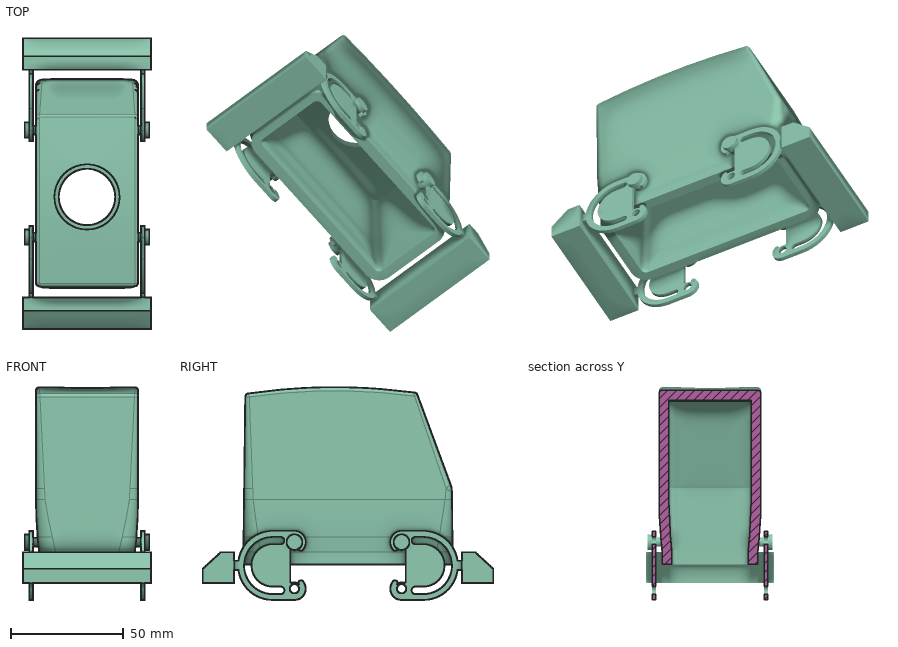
import cadquery as cq
import math


RIM_TOP = 5.7
TAPER_TOP = 12.3
BULGE_TOP = 29.0
RIDGE_Z = 34.0
CROWN_Z = 79.0
LOFT_TOP = 81.6

TOP_HALF_WIDTH = 22.8
BULGE_RADIUS = 180.0
RIM_HALF_LENGTH = 46.6
END_DRAFT = 0.012
BACK_LEAN = 0.37
TOP_FILLET = 1.5
CROWN_RADIUS = 265.5
WALL = 4.5

RIM_CORNER = 7.4
TAPER_FRONT_CORNER = 6.5
TAPER_BACK_CORNER = 6.1
BULGE_FRONT_CORNER = 4.0
BULGE_BACK_CORNER = 3.2
RIDGE_BACK_CORNER = 2.7
TOP_CORNER = 1.4
CAVITY_CORNER = 2.6
RIDGE_RADIUS = 9.1

ENTRY_Y = -6.0
BUSHING_RADIUS = 14.5
ENTRY_RADIUS = 25.0 / 2
BUSHING_RECESS = 0.6
ENTRY_POCKET_Z = 69.9

LEVER_Y = 33.5
LEVER_Z = -0.4
LEVER_RADIUS = 15.4
SLOT_OUTER_RADIUS = 12.7
SLOT_INNER_RADIUS = 9.5
SLOT_END_Y = 28.4
PLATE_INNER_Y = 25.6
PLATE_INSIDE_X = 24.0
PLATE_THICKNESS = 1.8
PIVOT_Y = 23.8
PIVOT_RADIUS = 4.0 / 2
HOOK_RADIUS = 5.0
HOOK_INNER_RADIUS = 2.8
HOOK_TIP_ANGLE = 43.0
HOOK_ROOT_FILLET = 0.6
NECK_HEIGHT = 4.3

HANDLE_WIDTH = 57.0
HANDLE_INNER_Y = 50.6
HANDLE_OUTER_Y = 64.8
HANDLE_BOTTOM = -8.3
HANDLE_TOP = 5.6
HANDLE_BEVEL_Y = 56.6
HANDLE_BEVEL_Z = -2.0

PIN_HEAD_RADIUS = 3.5
PIN_HEAD_END_X = 27.7
PIN_INNER_X = 20.1

PIVOT_OFFSET = LEVER_RADIUS - HOOK_RADIUS
PLATE_OUTSIDE_X = PLATE_INSIDE_X + PLATE_THICKNESS


def half_width(z):
    """Half width of the hood at height z: vertical, then an arc, then its straight tangent."""
    drop = BULGE_TOP - max(z, TAPER_TOP)
    bulge_inset = BULGE_RADIUS - math.sqrt(BULGE_RADIUS**2 - max(drop, 0) ** 2)
    end_slope = (BULGE_TOP - TAPER_TOP) / BULGE_RADIUS
    taper_inset = end_slope * max(TAPER_TOP - max(z, RIM_TOP), 0)
    return TOP_HALF_WIDTH - bulge_inset - taper_inset


def front_y(z):
    return -RIM_HALF_LENGTH + END_DRAFT * max(z - RIM_TOP, 0)


def back_y(z):
    below_ridge = RIM_HALF_LENGTH - END_DRAFT * max(min(z, RIDGE_Z) - RIM_TOP, 0)
    return below_ridge - BACK_LEAN * max(z - RIDGE_Z, 0)


def hood_section(z, front_corner, back_corner, inset=0.0):
    """Horizontal rounded-rectangle wire of the hood at height z, moved inwards by inset."""
    x = half_width(z) - inset
    front = front_y(z) + inset
    back = back_y(z) - inset
    outline = (
        cq.Workplane("XY", origin=(0, 0, z))
        .moveTo(-x + front_corner, front)
        .lineTo(x - front_corner, front)
        .radiusArc((x, front + front_corner), -front_corner)
        .lineTo(x, back - back_corner)
        .radiusArc((x - back_corner, back), -back_corner)
        .lineTo(-x + back_corner, back)
        .radiusArc((-x, back - back_corner), -back_corner)
        .lineTo(-x, front + front_corner)
        .radiusArc((-x + front_corner, front), -front_corner)
        .close()
    )
    return outline.val()


def loft(sections, ruled=True):
    return cq.Workplane(cq.Solid.makeLoft(sections, ruled))


def below_arch(depth):
    """Large cylinder whose upper side is the arched top of the hood moved down by depth."""
    radius = CROWN_RADIUS - depth
    return (
        cq.Workplane("YZ", origin=(-HANDLE_WIDTH, ENTRY_Y, CROWN_Z - CROWN_RADIUS))
        .circle(radius)
        .extrude(2 * HANDLE_WIDTH)
    )


def make_hood_outside():
    bulge_middle = (TAPER_TOP + BULGE_TOP) / 2
    middle_front_corner = (TAPER_FRONT_CORNER + BULGE_FRONT_CORNER) / 2
    middle_back_corner = (TAPER_BACK_CORNER + BULGE_BACK_CORNER) / 2
    ridge_share = (RIDGE_Z - BULGE_TOP) / (LOFT_TOP - BULGE_TOP)
    ridge_front_corner = BULGE_FRONT_CORNER + ridge_share * (TOP_CORNER - BULGE_FRONT_CORNER)

    rim = hood_section(0, RIM_CORNER, RIM_CORNER)
    rim_top = hood_section(RIM_TOP, RIM_CORNER, RIM_CORNER)
    taper_top = hood_section(TAPER_TOP, TAPER_FRONT_CORNER, TAPER_BACK_CORNER)
    bulge = hood_section(bulge_middle, middle_front_corner, middle_back_corner)
    bulge_top = hood_section(BULGE_TOP, BULGE_FRONT_CORNER, BULGE_BACK_CORNER)
    ridge = hood_section(RIDGE_Z, ridge_front_corner, RIDGE_BACK_CORNER)
    top = hood_section(LOFT_TOP, TOP_CORNER, TOP_CORNER)

    lower = loft([rim, rim_top, taper_top])
    middle = loft([taper_top, bulge, bulge_top], ruled=False)
    ridge_edges = cq.selectors.BoxSelector(
        (-HANDLE_WIDTH, RIM_HALF_LENGTH - 2 * RIDGE_BACK_CORNER, RIDGE_Z - RIDGE_BACK_CORNER),
        (HANDLE_WIDTH, RIM_HALF_LENGTH, RIDGE_Z + RIDGE_BACK_CORNER),
    )
    upper = loft([bulge_top, ridge, top]).edges(ridge_edges).fillet(RIDGE_RADIUS)
    upper = upper.intersect(below_arch(0))
    upper = upper.faces(">Z").edges().fillet(TOP_FILLET)
    return lower.union(middle).union(upper)


def make_cavity():
    heights = [0, RIM_TOP, TAPER_TOP, BULGE_TOP, RIDGE_Z, LOFT_TOP]
    walls = loft([hood_section(z, CAVITY_CORNER, CAVITY_CORNER, WALL) for z in heights])
    return walls.intersect(below_arch(WALL))


def make_entry_cylinder(radius, bottom, top):
    return (
        cq.Workplane("XY", origin=(0, ENTRY_Y, bottom))
        .circle(radius)
        .extrude(top - bottom)
    )


def lever_slot():
    """C-shaped slot that leaves a ring around the lever plate."""
    end_radius = (SLOT_OUTER_RADIUS - SLOT_INNER_RADIUS) / 2
    end_z = (SLOT_OUTER_RADIUS + SLOT_INNER_RADIUS) / 2
    straight_end = SLOT_END_Y - LEVER_Y + end_radius

    def half_stadium(radius):
        return (
            cq.Workplane("YZ", origin=(PLATE_INSIDE_X, LEVER_Y, LEVER_Z))
            .moveTo(straight_end, radius)
            .lineTo(0, radius)
            .threePointArc((radius, 0), (0, -radius))
            .lineTo(straight_end, -radius)
            .close()
            .extrude(PLATE_THICKNESS)
        )

    slot_ends = (
        cq.Workplane("YZ", origin=(PLATE_INSIDE_X, SLOT_END_Y + end_radius, LEVER_Z))
        .pushPoints([(0, end_z), (0, -end_z)])
        .circle(end_radius)
        .extrude(PLATE_THICKNESS)
    )
    band = half_stadium(SLOT_OUTER_RADIUS).cut(half_stadium(SLOT_INNER_RADIUS))
    return band.union(slot_ends)


def make_lever_plate():
    """Side plate at +X with a hook at the top and the bottom and a neck to the handle."""
    pivot = PIVOT_Y - LEVER_Y
    edge = PLATE_INNER_Y - LEVER_Y
    tip_cos = math.cos(math.radians(HOOK_TIP_ANGLE))
    tip_sin = math.sin(math.radians(HOOK_TIP_ANGLE))
    tip_mid_radius = (HOOK_RADIUS + HOOK_INNER_RADIUS) / 2
    tip_radius = (HOOK_RADIUS - HOOK_INNER_RADIUS) / 2
    root_z = PIVOT_OFFSET - math.sqrt(HOOK_INNER_RADIUS**2 - (edge - pivot) ** 2)

    def hook_point(radius, side):
        return (pivot - radius * tip_cos, side * (PIVOT_OFFSET - radius * tip_sin))

    def tip_end(side):
        """Outermost point of the rounded hook tip, across from the pivot."""
        y, z = hook_point(tip_mid_radius, side)
        return (y + tip_radius * tip_sin, z - side * tip_radius * tip_cos)

    plate = (
        cq.Workplane("YZ", origin=(PLATE_INSIDE_X, LEVER_Y, LEVER_Z))
        .moveTo(0, LEVER_RADIUS)
        .threePointArc((LEVER_RADIUS, 0), (0, -LEVER_RADIUS))
        .lineTo(pivot, -LEVER_RADIUS)
        .threePointArc((pivot - HOOK_RADIUS, -PIVOT_OFFSET), hook_point(HOOK_RADIUS, -1))
        .threePointArc(tip_end(-1), hook_point(HOOK_INNER_RADIUS, -1))
        .threePointArc((pivot, HOOK_INNER_RADIUS - PIVOT_OFFSET), (edge, -root_z))
        .lineTo(edge, root_z)
        .threePointArc((pivot, PIVOT_OFFSET - HOOK_INNER_RADIUS), hook_point(HOOK_INNER_RADIUS, 1))
        .threePointArc(tip_end(1), hook_point(HOOK_RADIUS, 1))
        .threePointArc((pivot - HOOK_RADIUS, PIVOT_OFFSET), (pivot, LEVER_RADIUS))
        .close()
        .extrude(PLATE_THICKNESS)
    )
    roots = cq.selectors.BoxSelector(
        (0, PLATE_INNER_Y - HOOK_ROOT_FILLET, LEVER_Z - root_z - HOOK_ROOT_FILLET),
        (HANDLE_WIDTH, PLATE_INNER_Y + HOOK_ROOT_FILLET, LEVER_Z + root_z + HOOK_ROOT_FILLET),
    )
    plate = plate.edges("|X").edges(roots).fillet(HOOK_ROOT_FILLET)

    neck_start = LEVER_Y + (LEVER_RADIUS + SLOT_OUTER_RADIUS) / 2
    neck = cq.Workplane("XY").box(
        PLATE_THICKNESS, HANDLE_INNER_Y - neck_start, NECK_HEIGHT, centered=(False, False, True)
    ).translate((PLATE_INSIDE_X, neck_start, LEVER_Z))
    pivot_holes = (
        cq.Workplane("YZ", origin=(PLATE_INSIDE_X, PIVOT_Y, LEVER_Z))
        .pushPoints([(0, PIVOT_OFFSET), (0, -PIVOT_OFFSET)])
        .circle(PIVOT_RADIUS)
        .extrude(PLATE_THICKNESS)
    )
    return plate.union(neck).cut(lever_slot()).cut(pivot_holes)


def make_pin():
    """Pivot pin from the hood wall through the upper hole of the +X plate, with its head."""
    pivot_z = LEVER_Z + PIVOT_OFFSET
    shank = (
        cq.Workplane("YZ", origin=(PIN_INNER_X, PIVOT_Y, pivot_z))
        .circle(PIVOT_RADIUS)
        .extrude(PLATE_OUTSIDE_X - PIN_INNER_X)
    )
    head = (
        cq.Workplane("YZ", origin=(PLATE_OUTSIDE_X, PIVOT_Y, pivot_z))
        .circle(PIN_HEAD_RADIUS)
        .extrude(PIN_HEAD_END_X - PLATE_OUTSIDE_X)
    )
    return shank.union(head)


def make_handle():
    return (
        cq.Workplane("YZ", origin=(-HANDLE_WIDTH / 2, 0, 0))
        .moveTo(HANDLE_INNER_Y, HANDLE_BOTTOM)
        .lineTo(HANDLE_OUTER_Y, HANDLE_BOTTOM)
        .lineTo(HANDLE_OUTER_Y, HANDLE_BEVEL_Z)
        .lineTo(HANDLE_BEVEL_Y, HANDLE_TOP)
        .lineTo(HANDLE_INNER_Y, HANDLE_TOP)
        .close()
        .extrude(HANDLE_WIDTH)
    )


def make_back_lever():
    arm = make_lever_plate().union(make_pin())
    return make_handle().union(arm).union(arm.mirror("YZ"))


def make_housing():
    """Hood and both levers, joined by the pivot pins into one solid."""
    hood = make_hood_outside().cut(make_cavity())
    hood = hood.cut(make_entry_cylinder(BUSHING_RADIUS, ENTRY_POCKET_Z, LOFT_TOP))
    back_lever = make_back_lever()
    return hood.union(back_lever).union(back_lever.mirror("XZ"))


def make_bushing():
    """Ring in the cable entry, flat on top and flush with the arched ceiling below."""
    face_z = CROWN_Z - BUSHING_RECESS
    ring = make_entry_cylinder(BUSHING_RADIUS, ENTRY_POCKET_Z, face_z)
    ring = ring.cut(make_entry_cylinder(ENTRY_RADIUS, ENTRY_POCKET_Z, face_z))
    return ring.cut(below_arch(WALL))


housing = make_housing()
bushing = make_bushing()

result = cq.Compound.makeCompound([housing.solids().val(), bushing.solids().val()])